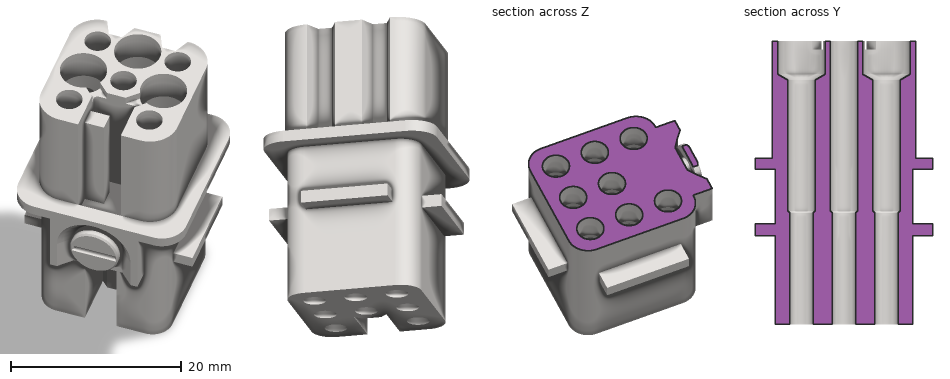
import cadquery as cq
import math

total_height = 33.3
flange_top = 19.55
flange_bottom = 18.2

flange_size_x = 20.95
flange_size_y = 21.0
flange_corner = 3.03
upper_size_x = 16.98
upper_size_y = 16.9
upper_corner = 3.4
lower_size_x = 16.2
lower_size_y = 16.12
lower_corner = 2.5

rib_bottom = 10.4
rib_top = 11.85
rib_length = 10.52
body_overlap = 0.65

pitch = 5.0
through_diameter = 2.65
bore_diameter = 3.13
bore_depth = 19.98
pocket_diameter = 5.55
pocket_depth = 3.85
pocket_cone_angle = 30
pocket_places = [(0, pitch), (-pitch, 0), (pitch, 0)]
bore_places = [(-pitch, pitch), (pitch, pitch), (0, 0), (-pitch, -pitch), (pitch, -pitch)]

slot_half_width = 2.65
slot_back = -2.53
slot_floor = flange_bottom
slot_corner = 0.45
key_length = 2.4
key_front = -6.13
key_back = -4.1
key_top = 31.27

groove_width = 1.83
groove_length = 4.65
groove_depth = 1.0

notch_centre = 3.33
notch_outer_half = 1.7
notch_inner_half = 0.83
notch_depth = 1.9

lower_slot_half = 1.95
lower_slot_back_half = 1.13

block_half_width = 5.45
block_front = -flange_size_y / 2
block_bottom = rib_bottom
screw_z = 14.2
recess_mouth = 4.6
recess_floor = 3.03
recess_depth = recess_mouth - recess_floor

screw_radius = 3.0
screw_head_height = 0.8
shank_radius = 1.5
screw_chamfer = 0.2
drive_width = 0.83
drive_depth = 0.65
drive_end_run = 0.43
drive_half_length = screw_radius - screw_chamfer


def rounded_block(size_x, size_y, corner, bottom, top):
    """Upright block with rounded vertical edges."""
    block = cq.Workplane("XY").workplane(offset=bottom).rect(size_x, size_y).extrude(top - bottom)
    return block.edges("|Z").fillet(corner)


def box(x_min, x_max, y_min, y_max, z_min, z_max):
    """Box given by its limits."""
    size = (x_max - x_min, y_max - y_min, z_max - z_min)
    return cq.Workplane("XY").box(*size, centered=False).translate((x_min, y_min, z_min))


def stepped_hole(steps):
    """Revolved cutter for a hole along Z, from (diameter, z) steps listed downwards."""
    outline = [(0, steps[0][1])]
    outline += [(diameter / 2, z) for diameter, z in steps]
    outline += [(0, steps[-1][1])]
    return cq.Workplane("XZ").polyline(outline).close().revolve(360, (0, 0), (0, 1))


def contact_hole(is_pocket):
    """Bore narrowing to the through hole at 45 degrees, optionally below a wide conical pocket."""
    bore_end = total_height - bore_depth
    bore_taper = (bore_diameter - through_diameter) / 2
    lower_steps = [
        (bore_diameter, bore_end),
        (through_diameter, bore_end - bore_taper),
        (through_diameter, 0),
    ]
    if not is_pocket:
        return stepped_hole([(bore_diameter, total_height)] + lower_steps)
    pocket_end = total_height - pocket_depth
    pocket_taper = (pocket_diameter - bore_diameter) / 2 * math.tan(math.radians(pocket_cone_angle))
    pocket_steps = [
        (pocket_diameter, total_height),
        (pocket_diameter, pocket_end),
        (bore_diameter, pocket_end - pocket_taper),
    ]
    return stepped_hole(pocket_steps + lower_steps)


def upper_slot():
    """Front slot of the upper body, leaving the key block standing on its floor."""
    front = -upper_size_y / 2
    slot = box(-slot_half_width, slot_half_width, front, slot_back, slot_floor, total_height)
    slot = slot.edges("|Z and >Y").fillet(slot_corner)
    key = box(-slot_half_width, key_length - slot_half_width, key_front, key_back, slot_floor, key_top)
    return slot.cut(key)


def diagonal_groove(side):
    """Groove at 45 degrees halfway between a side pocket and the front slot."""
    groove = cq.Workplane("XY").box(groove_length, groove_width, groove_depth)
    groove = groove.rotate((0, 0, 0), (0, 0, 1), side * 45)
    return groove.translate((side * pitch / 2, -pitch / 2, total_height - groove_depth / 2))


def back_notch(side):
    """Trapezoidal groove in the back face, running down to the flange."""
    back = upper_size_y / 2
    centre = side * notch_centre
    outline = [
        (centre - notch_outer_half, back),
        (centre - notch_inner_half, back - notch_depth),
        (centre + notch_inner_half, back - notch_depth),
        (centre + notch_outer_half, back),
    ]
    plane = cq.Workplane("XY").workplane(offset=flange_top)
    return plane.polyline(outline).close().extrude(total_height - flange_top)


def lower_slot():
    """Front slot below the screw block, with 45 degree back corners."""
    front = -lower_size_y / 2
    bevel_end = slot_back + lower_slot_half - lower_slot_back_half
    outline = [
        (-lower_slot_half, front),
        (-lower_slot_half, bevel_end),
        (-lower_slot_back_half, slot_back),
        (lower_slot_back_half, slot_back),
        (lower_slot_half, bevel_end),
        (lower_slot_half, front),
    ]
    return cq.Workplane("XY").polyline(outline).close().extrude(block_bottom)


def screw_recess():
    """Arched recess, open at the block bottom, whose sides taper at 45 degrees."""
    floor_y = block_front + recess_depth
    cone = cq.Solid.makeCone(
        recess_mouth, recess_floor, recess_depth, cq.Vector(0, block_front, screw_z), cq.Vector(0, 1, 0)
    )
    outline = [
        (-recess_mouth, block_front),
        (-recess_floor, floor_y),
        (recess_floor, floor_y),
        (recess_mouth, block_front),
    ]
    plane = cq.Workplane("XY").workplane(offset=block_bottom)
    channel = plane.polyline(outline).close().extrude(screw_z - block_bottom)
    return channel.union(cq.Workplane(cone))


def screw():
    """Chamfered round head on a shank rising from the recess floor, with a slot that has sloped ends."""
    shank = cq.Workplane("XZ", origin=(0, block_front + recess_depth, screw_z))
    shank = shank.circle(shank_radius).extrude(recess_depth - screw_head_height)
    head = cq.Workplane("XZ", origin=(0, block_front + screw_head_height, screw_z))
    head = head.circle(screw_radius).extrude(screw_head_height)
    head = head.faces("<Y").chamfer(screw_chamfer).union(shank)
    drive_outline = [
        (-drive_half_length, block_front),
        (-drive_half_length + drive_end_run, block_front + drive_depth),
        (drive_half_length - drive_end_run, block_front + drive_depth),
        (drive_half_length, block_front),
    ]
    plane = cq.Workplane("XY").workplane(offset=screw_z - drive_width / 2)
    return head.cut(plane.polyline(drive_outline).close().extrude(drive_width))


result = rounded_block(lower_size_x, lower_size_y, lower_corner, 0, flange_top)
result = result.union(rounded_block(upper_size_x, upper_size_y, upper_corner, flange_top, total_height))
result = result.union(rounded_block(flange_size_x, flange_size_y, flange_corner, flange_bottom, flange_top))

half_rib = rib_length / 2
half_x = flange_size_x / 2
half_y = flange_size_y / 2
attach_start = lower_size_y / 2 - body_overlap
result = result.union(box(-half_x, -attach_start, -half_rib, half_rib, rib_bottom, rib_top))
result = result.union(box(attach_start, half_x, -half_rib, half_rib, rib_bottom, rib_top))
result = result.union(box(-half_rib, half_rib, attach_start, half_y, rib_bottom, rib_top))
result = result.union(
    box(-block_half_width, block_half_width, block_front, -attach_start, block_bottom, flange_top)
)

result = result.cut(upper_slot())
result = result.cut(lower_slot())
for side in (-1, 1):
    result = result.cut(diagonal_groove(side))
    result = result.cut(back_notch(side))

for x, y in bore_places:
    result = result.cut(contact_hole(is_pocket=False).translate((x, y, 0)))
for x, y in pocket_places:
    result = result.cut(contact_hole(is_pocket=True).translate((x, y, 0)))

result = result.cut(screw_recess())
result = result.union(screw())